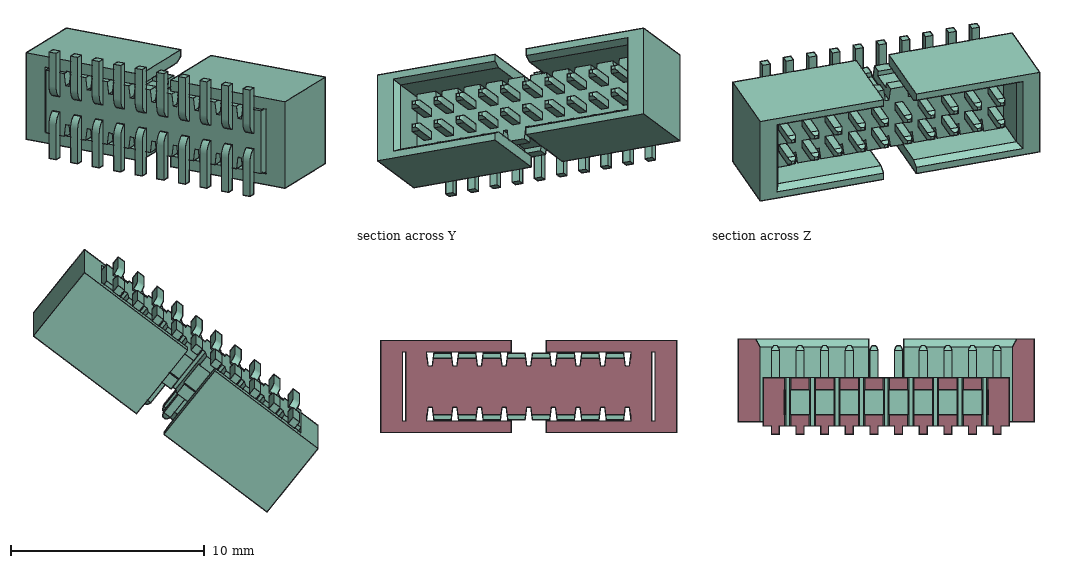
import cadquery as cq
import math


pitch = 1.27
pins_per_row = 10
pin_size = 0.42
row_offset = 0.635
heel_depth = 0.34
pin_tip_y = 4.575
tip_length = 0.25
tip_flat_x = 0.18
tip_flat_z = 0.18
tip_bulge = 0.025
lead_reach = 2.92
bend_radius = 0.70

shroud_length = 15.27
shroud_width = 4.75
shroud_bottom_y = 0.64
shroud_top_y = 4.93
end_wall = 1.13
side_wall = 0.60
lead_in_depth = 0.42
lead_in_width = 0.22
key_slot_width = 1.78

insert_length = 12.70
insert_width = 3.44
insert_bottom_y = 0.42
insert_top_y = 2.93
notch_depth = 0.65
notch_mouth = 0.37
notch_floor = 0.20
band_depth = 0.26
band_bottom_y = 1.02
band_top_y = 2.30

row_xs = [(i - (pins_per_row - 1) / 2) * pitch for i in range(pins_per_row)]
notch_xs = [(i - (pins_per_row - 2) / 2) * pitch for i in range(pins_per_row - 1)]
cavity_length = shroud_length - 2 * end_wall
cavity_width = shroud_width - 2 * side_wall

bridge_length = insert_length / 2 - notch_xs[-1] - notch_mouth / 2


def block(x_size, z_size, y_start, y_end, x=0, z=0):
    """Box centred on (x, z) that spans y_start to y_end."""
    middle = (y_start + y_end) / 2
    return cq.Workplane("XY").box(x_size, y_end - y_start, z_size).translate((x, middle, z))


def make_shroud():
    body = block(shroud_length, shroud_width, shroud_bottom_y, shroud_top_y)
    cavity = block(cavity_length, cavity_width, shroud_bottom_y, shroud_top_y)
    lead_in = (
        cq.Workplane("XZ", origin=(0, shroud_top_y, 0))
        .rect(cavity_length + 2 * lead_in_width, cavity_width + 2 * lead_in_width)
        .extrude(lead_in_depth, taper=math.degrees(math.atan2(lead_in_width, lead_in_depth)))
    )
    key_slots = block(key_slot_width, shroud_width, shroud_bottom_y, shroud_top_y)
    return body.cut(cavity).cut(lead_in).cut(key_slots)


def make_notch(x, side):
    """Tapered notch through the insulator, open towards side * Z."""
    mouth_z = side * insert_width / 2
    floor_z = side * (insert_width / 2 - notch_depth)
    return (
        cq.Workplane("XZ", origin=(0, insert_bottom_y, 0))
        .polyline(
            [
                (x - notch_mouth / 2, mouth_z),
                (x + notch_mouth / 2, mouth_z),
                (x + notch_floor / 2, floor_z),
                (x - notch_floor / 2, floor_z),
            ]
        )
        .close()
        .extrude(insert_bottom_y - insert_top_y)
    )


def make_insert():
    insert = block(insert_length, insert_width, insert_bottom_y, insert_top_y)
    for side in (-1, 1):
        band_z = side * (insert_width - band_depth) / 2
        insert = insert.cut(block(insert_length, band_depth, band_bottom_y, band_top_y, z=band_z))
        for x in notch_xs:
            insert = insert.cut(make_notch(x, side))
    return insert


def make_bridge(x_side, z_side):
    """Web from the shroud side wall to the floor of the insulator's band."""
    inner_z = insert_width / 2 - band_depth
    outer_z = shroud_width / 2
    return block(
        bridge_length,
        outer_z - inner_z,
        shroud_bottom_y,
        insert_top_y,
        x=x_side * (insert_length - bridge_length) / 2,
        z=z_side * (inner_z + outer_z) / 2,
    )


def make_pin(x):
    """Pin of the +Z row: solder lead with a rounded heel, straight post and tapered tip."""
    post_top = pin_tip_y - tip_length
    heel_run = math.sqrt(bend_radius**2 - (bend_radius - heel_depth) ** 2)
    heel_z = row_offset - pin_size / 2
    bend_z = heel_z + heel_run
    half_angle = math.acos((bend_radius - heel_depth) / bend_radius) / 2
    arc_y = bend_radius * (1 - math.cos(half_angle))
    arc_z = bend_z - bend_radius * math.sin(half_angle)
    lead = (
        cq.Workplane("YZ", origin=(x - pin_size / 2, 0, 0))
        .moveTo(insert_bottom_y, heel_z)
        .lineTo(heel_depth, heel_z)
        .threePointArc((arc_y, arc_z), (0, bend_z))
        .lineTo(0, lead_reach)
        .lineTo(insert_bottom_y, lead_reach)
        .close()
        .extrude(pin_size)
    )
    post = block(pin_size, pin_size, insert_bottom_y, post_top, x=x, z=row_offset)
    return lead.union(post)


def make_tip(x):
    """Tip of a +Z row pin: bowed sides across X, flat tapered faces across Z."""
    base_half = pin_size / 2
    base_y = pin_tip_y - tip_length
    middle_y = base_y + tip_length / 2
    middle_half = (base_half + tip_flat_x / 2) / 2 + tip_bulge
    bowed = (
        cq.Workplane("XY")
        .moveTo(-base_half, base_y)
        .lineTo(base_half, base_y)
        .threePointArc((middle_half, middle_y), (tip_flat_x / 2, pin_tip_y))
        .lineTo(-tip_flat_x / 2, pin_tip_y)
        .threePointArc((-middle_half, middle_y), (-base_half, base_y))
        .close()
        .extrude(base_half, both=True)
    )
    wedge = (
        cq.Workplane("YZ")
        .polyline(
            [
                (base_y, -base_half),
                (base_y, base_half),
                (pin_tip_y, tip_flat_z / 2),
                (pin_tip_y, -tip_flat_z / 2),
            ]
        )
        .close()
        .extrude(base_half, both=True)
    )
    return bowed.intersect(wedge).translate((x, 0, row_offset))


result = make_shroud().union(make_insert())
for x_side in (-1, 1):
    for z_side in (-1, 1):
        result = result.union(make_bridge(x_side, z_side))
for x in row_xs:
    pin = make_pin(x).union(make_tip(x))
    result = result.union(pin).union(pin.mirror("XY"))